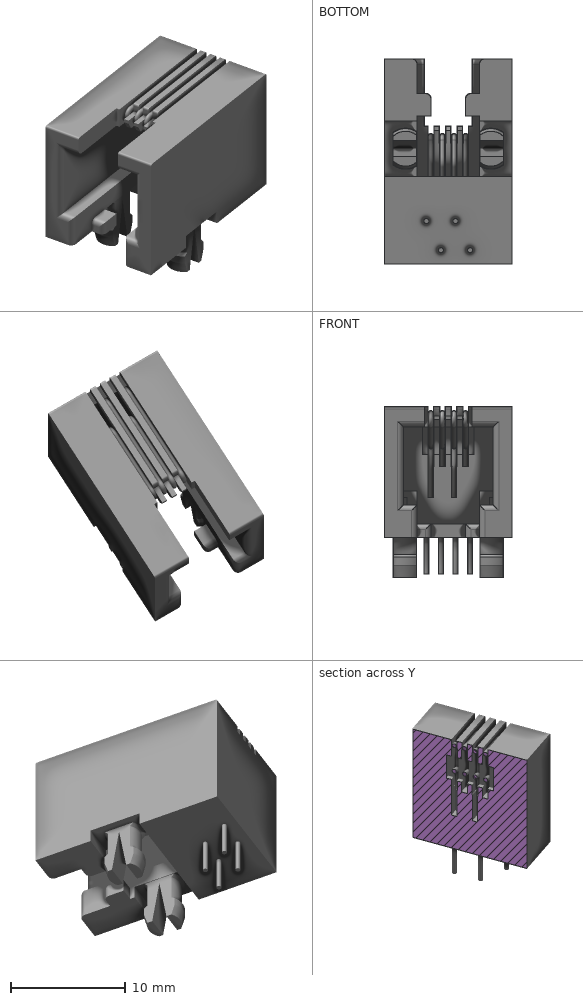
import cadquery as cq
import math


MARGIN = 0.18

WIDTH = 11.2
DEPTH = 18.0
HEIGHT = 11.5
TOP_EDGE_RADIUS = 0.2

CAVITY_DEPTH = 12.96
CAVITY_HALF_WIDTH = 3.92
CAVITY_TOP = 9.7
RAIL_TOP = 2.88
RAIL_HALF_GAP = 2.72
MOUTH_RADIUS = 0.5

NOTCH_FRONT = 5.45
NOTCH_BACK = 10.3
FLOOR_TOP = 1.22
TAB_FRONT = 3.02
TAB_BACK = 5.02
TAB_HALF_GAP = 1.5

SHOULDER_TOP = 4.1
SHOULDER_NOTCH_WIDTH = 0.32
SHOULDER_NOTCH_TOP = 3.53

OPENING_HALF_WIDTH = 2.09
OPENING_BACK = 5.89
RIB_FRONT = 7.38

CONTACT_COUNT = 4
CONTACT_SPAN = 3.06
CONTACT_PITCH = CONTACT_SPAN / (CONTACT_COUNT - 1)
PIN_PITCH = 1.28
WIRE_DIAMETER = 0.45
WIRE_RADIUS = WIRE_DIAMETER / 2
WIRE_TOP = 11.15
RUN_Z = WIRE_TOP - WIRE_RADIUS
PIN_BOTTOM = -3.19
FRONT_PIN_Y = 14.22
PIN_ROW_SPACING = 2.55
JOG_BOTTOM = 0.9
JOG_TOP = 2.7
LEG_BEND_RADIUS = 0.99
SPRING_BEND_RADIUS = 0.54
SPRING_BEND_Y = 7.3
SPRING_ANGLE = 15.0
SPRING_TIP_Z = 8.01

SLOT_WIDTH = 0.47
SLOT_FLOOR = WIRE_TOP - WIRE_DIAMETER
COMB_RIB_WIDTH = 0.47
COMB_SLOT_WIDTH = CONTACT_PITCH - COMB_RIB_WIDTH
COMB_HALF_WIDTH = (CONTACT_SPAN + SLOT_WIDTH) / 2
COMB_SLOT_BOTTOM = 6.26
RIB_NOSE_BOTTOM = 10.37
RIB_NOSE_UNDERCUT = 0.4
LEG_GROOVE_BOTTOM = 3.53

RECESS_HALF_WIDTH = 2.27
RECESS_BOTTOM = 7.29
RECESS_DEPTH = 0.72

CLIP_OUTER_X = 4.82
CLIP_INNER_X = 2.77
CLIP_AXIS_X = 3.75
CLIP_Y = (NOTCH_FRONT + NOTCH_BACK) / 2
CLIP_BOTTOM = -3.5
CLIP_SHAFT_RADIUS = 1.53
CLIP_BARB_RADIUS = 1.8
CLIP_ROOT_RADIUS = 1.76
CLIP_ROOT_Z = 0.92
BARB_TOP = -1.45
BARB_SHOULDER = -1.71
BARB_TAPER = -2.43
CLIP_SPLIT_TOP = 0.72
CLIP_SPLIT_HALF_WIDTH = 0.7


def block(x0, x1, y0, y1, z0, z1):
    """Box between two opposite corners."""
    return cq.Workplane("XY").box(x1 - x0, y1 - y0, z1 - z0, centered=False).translate((x0, y0, z0))


def centered_block(half_width, y0, y1, z0, z1):
    """Box that is symmetric about X = 0."""
    return block(-half_width, half_width, y0, y1, z0, z1)


def both_sides(shape):
    """The shape together with its mirror image across X = 0."""
    return shape.union(shape.mirror("YZ"))


def contact_x(index):
    """Place across the jack of a wire's leg, top run and spring."""
    return (index - (CONTACT_COUNT - 1) / 2) * CONTACT_PITCH


def pin_x(index):
    """Place across the jack of a wire's pin, at a wider pitch than its leg."""
    return (index - (CONTACT_COUNT - 1) / 2) * PIN_PITCH


def pin_y(index):
    """Pins alternate between a front and a rear row."""
    return FRONT_PIN_Y + PIN_ROW_SPACING * (index % 2)


def make_shell():
    """Outer block with the plug cavity and its rounded mouth."""
    shell = centered_block(WIDTH / 2, 0, DEPTH, 0, HEIGHT)
    shell = shell.edges("|X and >Z").fillet(TOP_EDGE_RADIUS)
    shell = shell.cut(centered_block(CAVITY_HALF_WIDTH, 0, CAVITY_DEPTH, RAIL_TOP, CAVITY_TOP))
    shell = shell.cut(centered_block(RAIL_HALF_GAP, 0, CAVITY_DEPTH, 0, RAIL_TOP))
    mouth_edges = cq.selectors.BoxSelector(
        (-CAVITY_HALF_WIDTH - MARGIN, -MARGIN, MARGIN),
        (CAVITY_HALF_WIDTH + MARGIN, MARGIN, CAVITY_TOP + MARGIN),
    )
    return shell.edges(mouth_edges).fillet(MOUTH_RADIUS)


def make_tab():
    """Tab that reaches inwards from the left rail, rounded at its front."""
    tab = block(-RAIL_HALF_GAP, -TAB_HALF_GAP, TAB_FRONT, TAB_BACK, 0, FLOOR_TOP)
    return tab.faces("<Y").edges(">Z or >X").fillet(MOUTH_RADIUS)


def make_shoulder():
    """Stop on the left rail, with a small notch along the cavity wall."""
    shoulder = block(-CAVITY_HALF_WIDTH, -RAIL_HALF_GAP, NOTCH_BACK, CAVITY_DEPTH, RAIL_TOP, SHOULDER_TOP)
    notch_x = SHOULDER_NOTCH_WIDTH - CAVITY_HALF_WIDTH
    notch = block(-CAVITY_HALF_WIDTH, notch_x, NOTCH_BACK, CAVITY_DEPTH, RAIL_TOP, SHOULDER_NOTCH_TOP)
    return shoulder.cut(notch)


def make_clip():
    """Left snap-in clip: a barbed round post with flat sides and a V split."""
    post = (
        cq.Workplane("XZ")
        .polyline([
            (0, FLOOR_TOP),
            (CLIP_ROOT_RADIUS, FLOOR_TOP),
            (CLIP_SHAFT_RADIUS, CLIP_ROOT_Z),
            (CLIP_SHAFT_RADIUS, BARB_TOP),
            (CLIP_BARB_RADIUS, BARB_SHOULDER),
            (CLIP_BARB_RADIUS, BARB_TAPER),
            (CLIP_SHAFT_RADIUS, CLIP_BOTTOM),
            (0, CLIP_BOTTOM),
        ])
        .close()
        .revolve(360, (0, 0), (0, 1))
        .translate((-CLIP_AXIS_X, CLIP_Y, 0))
    )
    flats = block(-CLIP_OUTER_X, -CLIP_INNER_X, NOTCH_FRONT, NOTCH_BACK, CLIP_BOTTOM, FLOOR_TOP)
    split = (
        cq.Workplane("YZ")
        .polyline([
            (CLIP_Y, CLIP_SPLIT_TOP),
            (CLIP_Y - CLIP_SPLIT_HALF_WIDTH, CLIP_BOTTOM),
            (CLIP_Y + CLIP_SPLIT_HALF_WIDTH, CLIP_BOTTOM),
        ])
        .close()
        .extrude(-WIDTH / 2)
    )
    return post.intersect(flats).cut(split)


def cut_roof_opening(housing):
    """Open the roof at the front and set the ribs between the slots back and down."""
    housing = housing.cut(centered_block(OPENING_HALF_WIDTH, 0, OPENING_BACK, CAVITY_TOP, HEIGHT))
    housing = housing.cut(centered_block(COMB_HALF_WIDTH, OPENING_BACK, RIB_FRONT, SLOT_FLOOR, HEIGHT))
    rib_top_edges = cq.selectors.BoxSelector(
        (-COMB_HALF_WIDTH, RIB_FRONT - MARGIN, HEIGHT - MARGIN),
        (COMB_HALF_WIDTH, RIB_FRONT + MARGIN, HEIGHT + MARGIN),
    )
    housing = housing.edges(rib_top_edges).fillet(TOP_EDGE_RADIUS)
    nose_slope = (
        cq.Workplane("YZ")
        .polyline([
            (OPENING_BACK, CAVITY_TOP),
            (OPENING_BACK, RIB_NOSE_BOTTOM),
            (OPENING_BACK + RIB_NOSE_UNDERCUT, CAVITY_TOP),
        ])
        .close()
        .extrude(COMB_HALF_WIDTH, both=True)
    )
    return housing.cut(nose_slope)


def cut_contact_slots(housing):
    """Cut the top slots, the wider comb slots under them and the leg grooves."""
    comb_limits = centered_block(COMB_HALF_WIDTH, 0, DEPTH, 0, HEIGHT)
    for index in range(CONTACT_COUNT):
        x = contact_x(index)
        leg_y = pin_y(index)
        top_slot = centered_block(SLOT_WIDTH / 2, OPENING_BACK, DEPTH, SLOT_FLOOR, HEIGHT)
        housing = housing.cut(top_slot.translate((x, 0, 0)))
        comb_slot = centered_block(
            COMB_SLOT_WIDTH / 2, OPENING_BACK, FRONT_PIN_Y + PIN_ROW_SPACING, COMB_SLOT_BOTTOM, SLOT_FLOOR
        )
        housing = housing.cut(comb_slot.translate((x, 0, 0)).intersect(comb_limits))
        if leg_y == FRONT_PIN_Y:
            groove = centered_block(WIRE_RADIUS, CAVITY_DEPTH, leg_y, LEG_GROOVE_BOTTOM, COMB_SLOT_BOTTOM)
            housing = housing.cut(groove.translate((x, 0, 0)))
    return housing


def make_housing(contacts):
    """Housing with its clips, and with matching holes where the contacts run through it."""
    housing = make_shell()
    housing = housing.union(both_sides(make_shoulder()))
    housing = housing.union(centered_block(RAIL_HALF_GAP, NOTCH_BACK, CAVITY_DEPTH, 0, FLOOR_TOP))
    housing = housing.union(both_sides(make_tab()))
    housing = housing.cut(centered_block(WIDTH / 2, NOTCH_FRONT, NOTCH_BACK, 0, FLOOR_TOP))
    housing = housing.union(both_sides(make_clip()))
    housing = cut_roof_opening(housing)
    recess_back = CAVITY_DEPTH + RECESS_DEPTH
    housing = housing.cut(
        centered_block(RECESS_HALF_WIDTH, CAVITY_DEPTH, recess_back, RECESS_BOTTOM, CAVITY_TOP)
    )
    housing = cut_contact_slots(housing)
    for contact in contacts:
        housing = housing.cut(contact)
    return housing.solids()


def make_contact(index):
    """Round wire: pin, sideways jog, leg, top run and a spring folded back into the cavity."""
    x = contact_x(index)
    y = pin_y(index)
    slope = math.radians(SPRING_ANGLE)
    half_bend_offset = LEG_BEND_RADIUS * math.sqrt(0.5)

    def point(y_position, z_position):
        return cq.Vector(x, y_position, z_position)

    leg_center_y = y - LEG_BEND_RADIUS
    leg_center_z = RUN_Z - LEG_BEND_RADIUS
    spring_center_z = RUN_Z - SPRING_BEND_RADIUS
    bend_end_y = SPRING_BEND_Y - SPRING_BEND_RADIUS * math.sin(slope)
    bend_end_z = spring_center_z - SPRING_BEND_RADIUS * math.cos(slope)
    spring_tip_y = bend_end_y + (bend_end_z - SPRING_TIP_Z) / math.tan(slope)

    pin_start = cq.Vector(pin_x(index), y, PIN_BOTTOM)
    jog_start = cq.Vector(pin_x(index), y, JOG_BOTTOM)
    jog_end = point(y, JOG_TOP)
    leg_top = point(y, leg_center_z)
    leg_bend_middle = point(leg_center_y + half_bend_offset, leg_center_z + half_bend_offset)
    run_back = point(leg_center_y, RUN_Z)
    run_front = point(SPRING_BEND_Y, RUN_Z)
    spring_bend_middle = point(SPRING_BEND_Y - SPRING_BEND_RADIUS, spring_center_z)
    spring_bend_end = point(bend_end_y, bend_end_z)
    spring_tip = point(spring_tip_y, SPRING_TIP_Z)

    path = cq.Wire.assembleEdges([
        cq.Edge.makeLine(pin_start, jog_start),
        cq.Edge.makeLine(jog_start, jog_end),
        cq.Edge.makeLine(jog_end, leg_top),
        cq.Edge.makeThreePointArc(leg_top, leg_bend_middle, run_back),
        cq.Edge.makeLine(run_back, run_front),
        cq.Edge.makeThreePointArc(run_front, spring_bend_middle, spring_bend_end),
        cq.Edge.makeLine(spring_bend_end, spring_tip),
    ])
    section = cq.Workplane("XY", origin=pin_start.toTuple()).circle(WIRE_RADIUS)
    return section.sweep(path, transition="round")


contacts = [make_contact(index) for index in range(CONTACT_COUNT)]
housing = make_housing(contacts)

result = cq.Compound.makeCompound([housing.val(), *[contact.val() for contact in contacts]])